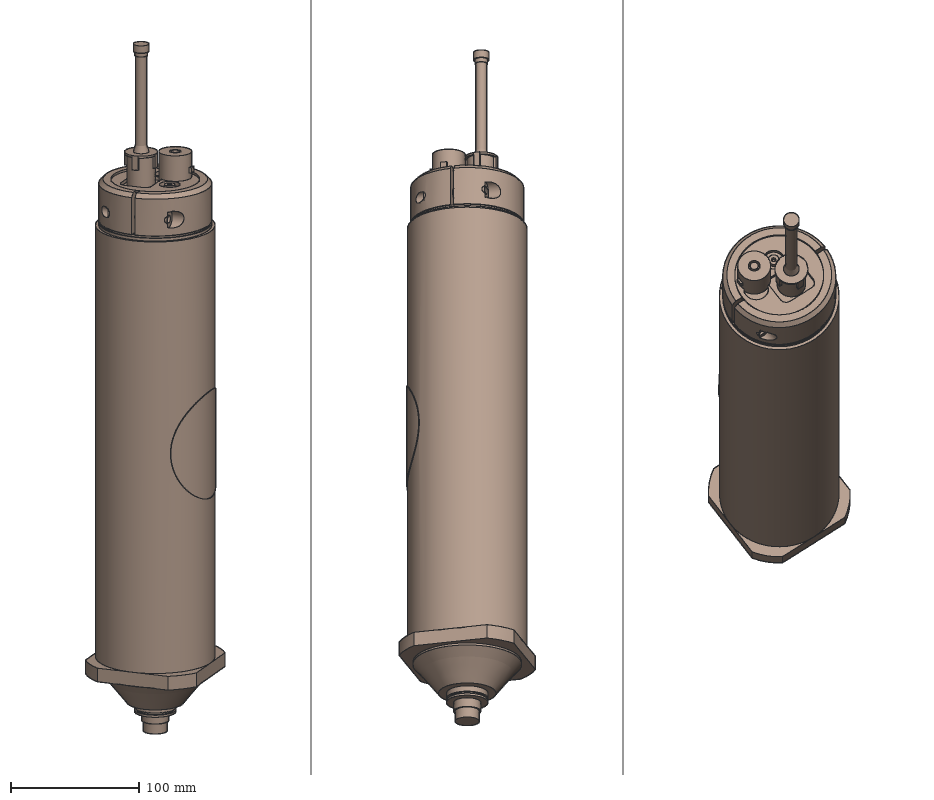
import cadquery as cq
import math

total_height = 560.0
tip_top = 8.5
stem_top = 15.5
collar_top = 23.5
cone_break = 40.5
cone_top = 47.5
flange_bottom = 49.5
flange_top = 60.5
body_top = 412.5
groove_top = 416.0
head_top = 450.0

flange_width = 93.5
flange_corner_radius = 55.5
body_radius = flange_width / 2
spigot_radius = 42.5
cone_break_radius = 36.0
cone_bottom_radius = 22.5
collar_radius = 16.0
collar_groove_height = 1.5
collar_groove_depth = 1.5
stem_radius = 10.5
tip_radius = 9.5

pad_height = 239.0
pad_reach = 43.5
pad_edge_x = 28.0
pad_thickness = 0.5

head_radius = 44.0
head_chamfer = 3.5
groove_height = 1.5
groove_depth = 1.0
recess_radius = 35.0
recess_depth = 1.5
slot_width = 3.0
slot_x = -0.5
screw_height = 429.0
screw_y = 33.5
screw_diameter = 8.5
screw_head_diameter = 13.5
screw_seat_x = 25.0
screw_end_x = -24.5
screw_socket_diameter = 6.0
screw_socket_depth = 3.5

connector_x = -10.0
connector_y = -4.5
connector_radius = 11.0
connector_collar_radius = 13.0
connector_collar_height = 1.5
connector_tab_bottom = 460.5
connector_top = 472.5
tab_width = 5.0
opening_length_x = 26.0
opening_length_y = 31.5
opening_corner_radius = 5.5
opening_depth = 3.0

rod_radius = 4.5
rod_bottom = 478.0
rod_foot_radius = 6.0
cap_radius = 6.0
cap_bottom = 554.0
cap_neck_height = 3.5
cap_neck_radius = 5.0

plug_x = 10.0
plug_y = 17.0
plug_radius = 13.0
plug_top = 469.0
plug_tab_reach = 14.5
plug_tab_bottom = 453.0
plug_tab_height = 4.5
plug_bore_diameter = 9.0
plug_bore_depth = 5.5
plug_pin_diameter = 6.0

socket_x = 14.0
socket_y = -4.5
socket_diameter = 16.0
socket_depth = 3.5
socket_pin_diameter = 8.5
socket_pin_bore = 3.3

port_x = 1.0
port_y = 21.5
port_diameter = 19.0
port_depth = 3.5

floor_height = head_top - recess_depth


def cylinder(radius, bottom, top, x=0.0, y=0.0):
    """Upright cylinder between two heights."""
    return cq.Workplane("XY", origin=(x, y, bottom)).circle(radius).extrude(top - bottom)


def turned(points, x=0.0, y=0.0):
    """Solid turned about a vertical axis from (radius, height) points."""
    profile = cq.Workplane("XZ", origin=(x, y, 0)).polyline(points).close()
    return profile.revolve(360, (0, 0, 0), (0, 1, 0))


def make_body():
    """Nozzle, cone, main cylinder and plain clamp head."""
    collar_waist = collar_radius - collar_groove_depth
    groove_bottom = groove_top - groove_height
    groove_radius = head_radius - groove_depth
    collar_lip = stem_top + collar_groove_height
    return turned([
        (0, 0),
        (tip_radius, 0),
        (tip_radius, tip_top),
        (stem_radius, tip_top),
        (stem_radius, stem_top),
        (collar_radius, stem_top),
        (collar_radius, collar_lip),
        (collar_waist, collar_lip),
        (collar_waist, collar_lip + collar_groove_height),
        (collar_radius, collar_lip + collar_groove_height),
        (collar_radius, collar_top),
        (cone_bottom_radius, collar_top),
        (cone_break_radius, cone_break),
        (spigot_radius, cone_top),
        (spigot_radius, flange_bottom),
        (body_radius, flange_bottom),
        (body_radius, body_top),
        (head_radius, body_top),
        (head_radius, groove_bottom),
        (groove_radius, groove_bottom),
        (groove_radius, groove_top),
        (head_radius, groove_top),
        (head_radius, head_top - head_chamfer),
        (head_radius - head_chamfer, head_top),
        (0, head_top),
    ])


def make_flange():
    """Square plate whose corners are turned to a common radius."""
    height = flange_top - flange_bottom
    plate = cq.Workplane("XY", origin=(0, 0, flange_bottom)).rect(flange_width, flange_width).extrude(height)
    return plate.intersect(cylinder(flange_corner_radius, flange_bottom, flange_top))


def make_pad():
    """Thin round pad wrapped on the body, bounded by a sphere centred outside the +X side."""
    centre_x = pad_reach**2 / (2 * (body_radius - pad_edge_x))
    sphere_radius = math.hypot(body_radius - centre_x, pad_reach)
    sphere = cq.Workplane("XY", origin=(centre_x, 0, pad_height)).sphere(sphere_radius)
    outer = cylinder(body_radius + pad_thickness, pad_height - sphere_radius, pad_height + sphere_radius)
    return outer.intersect(sphere)


def rod_along_x(diameter, start_x, end_x):
    """Cylinder along X on the clamp screw axis at -Y."""
    base = cq.Workplane("YZ", origin=(start_x, -screw_y, screw_height))
    return base.circle(diameter / 2).extrude(end_x - start_x)


def fit_clamp_screws(part):
    """Two opposite clamp screws across the slots, each sunk below the head surface at both ends."""
    entry = rod_along_x(screw_head_diameter, screw_seat_x, head_radius)
    far_end = rod_along_x(screw_diameter, -head_radius, screw_end_x)
    screw = rod_along_x(screw_diameter, screw_end_x, screw_seat_x)
    key_socket = rod_along_x(screw_socket_diameter, screw_seat_x - screw_socket_depth, screw_seat_x)
    openings = entry.union(far_end).union(key_socket)
    for half_turn in (0, 180):
        part = part.union(screw.rotate((0, 0, 0), (0, 0, 1), half_turn))
        part = part.cut(openings.rotate((0, 0, 0), (0, 0, 1), half_turn))
    return part


def cut_head(part):
    """Recessed end face and two opposite clamp slots."""
    part = part.cut(cylinder(recess_radius, floor_height, head_top))
    slot_length = head_radius - recess_radius
    slot_middle = recess_radius + slot_length / 2
    for side in (1, -1):
        slot = cq.Workplane("XY", origin=(slot_x, side * slot_middle, groove_top))
        part = part.cut(slot.rect(slot_width, slot_length).extrude(head_top - groove_top))
    return part


def cut_openings(part):
    """Openings in the end face for the connector, the socket and the side port."""
    opening = (
        cq.Workplane("XY", origin=(connector_x, connector_y, floor_height - opening_depth))
        .rect(opening_length_x, opening_length_y)
        .extrude(opening_depth)
        .edges("|Z")
        .fillet(opening_corner_radius)
    )
    socket = cylinder(socket_diameter / 2, floor_height - socket_depth, floor_height, socket_x, socket_y)
    port = cylinder(port_diameter / 2, floor_height - port_depth, floor_height, port_x, port_y)
    return part.cut(opening).cut(socket).cut(port)


def make_socket_pin():
    """Hollow pin standing in the socket, flush with the end face."""
    bottom = floor_height - socket_depth
    pin = cylinder(socket_pin_diameter / 2, bottom, floor_height, socket_x, socket_y)
    return pin.cut(cylinder(socket_pin_bore / 2, bottom, floor_height, socket_x, socket_y))


def make_connector():
    """Round connector with a thin collar over four tabs, carrying the long rod and its cap."""
    bottom = floor_height - opening_depth
    connector = cylinder(connector_radius, bottom, connector_top, connector_x, connector_y)
    collar_bottom = connector_top - connector_collar_height
    collar = cylinder(connector_collar_radius, collar_bottom, connector_top, connector_x, connector_y)
    tab_height = connector_top - connector_tab_bottom
    tab_span = 2 * connector_collar_radius
    tab_base = cq.Workplane("XY", origin=(connector_x, connector_y, connector_tab_bottom))
    for size_x, size_y in ((tab_span, tab_width), (tab_width, tab_span)):
        connector = connector.union(tab_base.rect(size_x, size_y).extrude(tab_height))
    rod = turned([
        (0, connector_top),
        (rod_foot_radius, connector_top),
        (rod_radius, rod_bottom),
        (rod_radius, cap_bottom - cap_neck_height),
        (cap_neck_radius, cap_bottom - cap_neck_height),
        (cap_neck_radius, cap_bottom),
        (cap_radius, cap_bottom),
        (cap_radius, total_height),
        (0, total_height),
    ], connector_x, connector_y)
    return connector.union(collar).union(rod)


def make_plug():
    """Plain round plug with tabs on +X and +Y and a bored top holding a pin."""
    plug = cylinder(plug_radius, floor_height - port_depth, plug_top, plug_x, plug_y)
    tab_base = cq.Workplane("XY", origin=(plug_x, plug_y, plug_tab_bottom))
    for size_x, size_y in ((plug_tab_reach, tab_width), (tab_width, plug_tab_reach)):
        centered = (size_x == tab_width, size_y == tab_width, False)
        plug = plug.union(tab_base.box(size_x, size_y, plug_tab_height, centered=centered))
    bore_bottom = plug_top - plug_bore_depth
    bore = cylinder(plug_bore_diameter / 2, bore_bottom, plug_top, plug_x, plug_y)
    pin = cylinder(plug_pin_diameter / 2, bore_bottom, plug_top, plug_x, plug_y)
    return plug.cut(bore).union(pin)


result = make_body().union(make_flange()).union(make_pad())
result = fit_clamp_screws(cut_head(result))
result = cut_openings(result)
result = result.union(make_socket_pin()).union(make_connector()).union(make_plug())